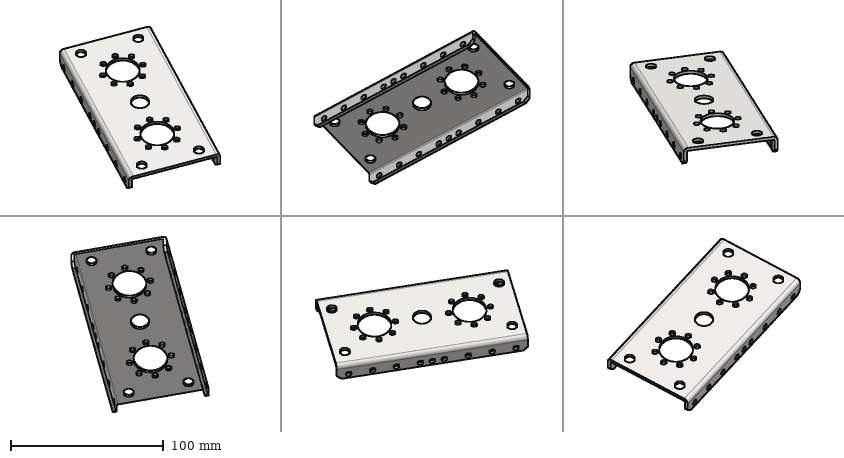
import cadquery as cq

length = 128.0
width = 64.0
height = 12.7
thickness = 2.286
bend_inner_radius = 0.762
bend_outer_radius = bend_inner_radius + thickness
flange_corner_chamfer = 3.175

hole_pitch = 16.0
edge_distance = hole_pitch / 2

corner_hole_diameter = 6.76
corner_hole_y = 20.0
center_hole_diameter = 12.0
hub_hole_diameter = 22.1
hub_x = 31.83
small_hole_diameter = 3.81
hub_bolt_circle_radius = 14.0
hub_bolt_count = 8

flange_hole_drop = 9.144
flange_hole_z = height - flange_hole_drop
flange_row_count = round(length / hole_pitch)


def make_channel():
    """U-shaped sheet channel: a flat web on top with two flanges bent down."""
    outer = (
        cq.Workplane("XY")
        .box(length, width, height, centered=(True, True, False))
        .edges("|X and >Z")
        .fillet(bend_outer_radius)
    )
    inner = (
        cq.Workplane("XY")
        .box(length, width - 2 * thickness, height - thickness, centered=(True, True, False))
        .edges("|X and >Z")
        .fillet(bend_inner_radius)
    )
    return outer.cut(inner)


def chamfer_flange_corners(body):
    """Bevel the lower corners at both ends of each flange."""
    return body.edges("|Y and <Z").chamfer(flange_corner_chamfer)


def drill_web(body, points, diameter):
    """Drill vertical holes through the web at the given XY points."""
    drills = cq.Workplane("XY").pushPoints(points).circle(diameter / 2).extrude(height)
    return body.cut(drills)


def drill_hub_pattern(body, x):
    """Large hub opening at the given X, ringed by small bolt holes."""
    body = drill_web(body, [(x, 0)], hub_hole_diameter)
    bolt_drills = (
        cq.Workplane("XY")
        .center(x, 0)
        .polarArray(hub_bolt_circle_radius, 0, 360, hub_bolt_count)
        .circle(small_hole_diameter / 2)
        .extrude(height)
    )
    return body.cut(bolt_drills)


def drill_flanges(body):
    """Evenly pitched row of holes through both flanges, plus one at mid-length."""
    first_x = edge_distance - length / 2
    row = [(first_x + i * hole_pitch, flange_hole_z) for i in range(flange_row_count)]
    row.append((0, flange_hole_z))
    drills = (
        cq.Workplane("XZ")
        .pushPoints(row)
        .circle(small_hole_diameter / 2)
        .extrude(width / 2, both=True)
    )
    return body.cut(drills)


corner_hole_x = length / 2 - edge_distance
corner_points = [(sx * corner_hole_x, sy * corner_hole_y) for sx in (-1, 1) for sy in (-1, 1)]

result = chamfer_flange_corners(make_channel())
result = drill_web(result, corner_points, corner_hole_diameter)
result = drill_web(result, [(0, 0)], center_hole_diameter)
for side in (-1, 1):
    result = drill_hub_pattern(result, side * hub_x)
result = drill_flanges(result)